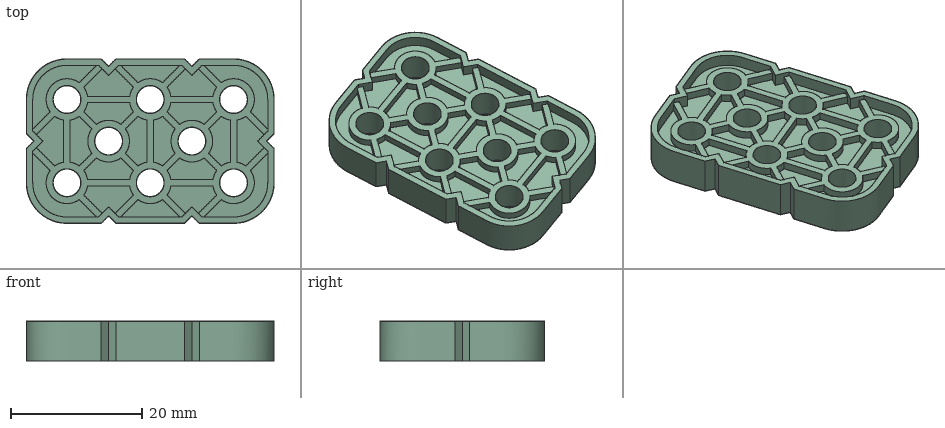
import cadquery as cq
import math

LENGTH = 37.8
WIDTH = 25.1
HEIGHT = 6.1

PITCH = 12.7
HALF_PITCH = PITCH / 2
CORNER_RADIUS = (LENGTH - 2 * PITCH) / 2
HOLE_DIAMETER = 4.2
BOSS_DIAMETER = 6.35

WALL = 1.0
RIB_WIDTH = 1.0
FLOOR_DEPTH = 2.05
RIB_DEPTH = 0.75
NOTCH_DEPTH = 1.15

FLOOR_Z = HEIGHT - FLOOR_DEPTH
RIB_HEIGHT = FLOOR_DEPTH - RIB_DEPTH

OUTER_HOLES = [(column * PITCH, side * HALF_PITCH) for column in (-1, 0, 1) for side in (-1, 1)]
INNER_HOLES = [(-HALF_PITCH, 0), (HALF_PITCH, 0)]
HOLES = OUTER_HOLES + INNER_HOLES

SIDE_NOTCHES = [(x, y) for x in (-HALF_PITCH, HALF_PITCH) for y in (-WIDTH / 2, WIDTH / 2)]
END_NOTCHES = [(-LENGTH / 2, 0), (LENGTH / 2, 0)]
NOTCHES = SIDE_NOTCHES + END_NOTCHES


def notched_block(inset, base_z, height):
    """Rounded block with V notches, its whole outline moved inward by inset."""
    block = (
        cq.Workplane("XY", origin=(0, 0, base_z))
        .rect(LENGTH - 2 * inset, WIDTH - 2 * inset)
        .extrude(height)
        .edges("|Z")
        .fillet(CORNER_RADIUS - inset)
    )
    half_diagonal = NOTCH_DEPTH + inset * math.sqrt(2)
    notch_cutter = (
        cq.Workplane("XY", origin=(0, 0, base_z))
        .pushPoints(NOTCHES)
        .polygon(4, 2 * half_diagonal)
        .extrude(height)
    )
    return block.cut(notch_cutter)


def rib(start, end):
    """Straight rib on the tray floor between two points."""
    run_x = end[0] - start[0]
    run_y = end[1] - start[1]
    middle = ((start[0] + end[0]) / 2, (start[1] + end[1]) / 2)
    return (
        cq.Workplane("XY", origin=(*middle, FLOOR_Z))
        .transformed(rotate=(0, 0, math.degrees(math.atan2(run_y, run_x))))
        .rect(math.hypot(run_x, run_y), RIB_WIDTH)
        .extrude(RIB_HEIGHT)
    )


def rib_lines():
    """End points of every rib."""
    lines = []
    for y in (-HALF_PITCH, HALF_PITCH):
        lines.append(((-PITCH, y), (PITCH, y)))
    for x in (-PITCH, 0, PITCH):
        lines.append(((x, -HALF_PITCH), (x, HALF_PITCH)))
    for side in (-1, 1):
        for end in (-1, 1):
            side_notch = (end * HALF_PITCH, side * PITCH)
            end_notch = (end * (PITCH + HALF_PITCH), 0)
            corner_hole = (-end * PITCH, -side * HALF_PITCH)
            lines.append((end_notch, side_notch))
            lines.append((corner_hole, side_notch))
    return lines


tray_space = notched_block(WALL, FLOOR_Z, FLOOR_DEPTH)
body = notched_block(0, 0, HEIGHT).cut(tray_space)

lattice = (
    cq.Workplane("XY", origin=(0, 0, FLOOR_Z))
    .pushPoints(HOLES)
    .circle(BOSS_DIAMETER / 2)
    .extrude(RIB_HEIGHT)
)
for start, end in rib_lines():
    lattice = lattice.union(rib(start, end))
body = body.union(lattice.intersect(tray_space))

hole_cutter = cq.Workplane("XY").pushPoints(HOLES).circle(HOLE_DIAMETER / 2).extrude(HEIGHT)
result = body.cut(hole_cutter)